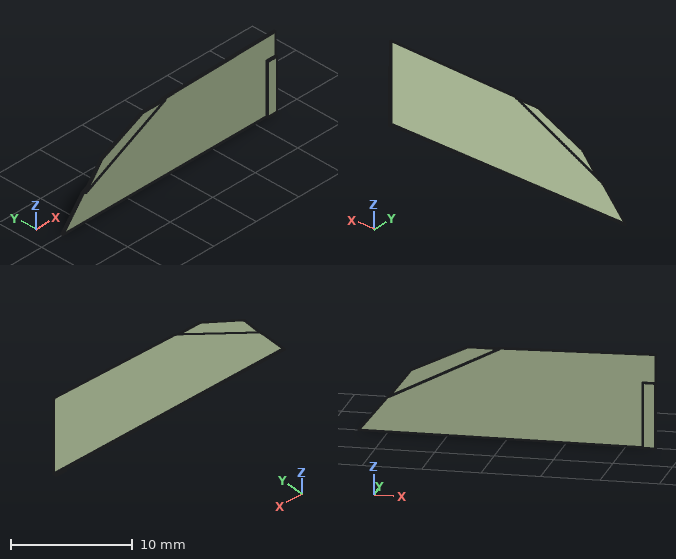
import cadquery as cq

LENGTH = 25.0
HEIGHT = 8.0
TOTAL_THICKNESS = 0.32
PLATE_THICKNESS = TOTAL_THICKNESS / 2
PAD_THICKNESS = TOTAL_THICKNESS - PLATE_THICKNESS

SLOPE_START_X = 2.42
SLOPE_START_Z = 2.98
SLOPE_END_X = 11.8
SLOPE_END_Z = 7.72

PATCH_TIP_X = 2.55
PATCH_TIP_Z = 3.02
PATCH_SHOULDER_X = 4.42
PATCH_SHOULDER_Z = 5.45
PATCH_TOP_X = 9.22
PATCH_END_X = 11.9

STRIP_WIDTH = 1.05
STRIP_HEIGHT = 5.58

JOINT_Y = 0.0


def sheet(outline, thickness):
    """Flat sheet from an XZ outline; positive thickness grows toward -Y."""
    plane = cq.Workplane("XZ", origin=(0, JOINT_Y, 0))
    return plane.polyline(outline).close().extrude(thickness)


def make_plate():
    outline = [
        (0, 0),
        (LENGTH, 0),
        (LENGTH, HEIGHT),
        (SLOPE_END_X, SLOPE_END_Z),
        (SLOPE_START_X, SLOPE_START_Z),
    ]
    return sheet(outline, -PLATE_THICKNESS)


def make_corner_patch():
    """Four-sided patch along the plate's sloping corner, overlapping its front face by a sliver."""
    outline = [
        (PATCH_TIP_X, PATCH_TIP_Z),
        (PATCH_END_X, SLOPE_END_Z),
        (PATCH_TOP_X, SLOPE_END_Z),
        (PATCH_SHOULDER_X, PATCH_SHOULDER_Z),
    ]
    return sheet(outline, PAD_THICKNESS)


def make_end_strip():
    """Upright strip on the front of the plate, flush with its tall end and bottom."""
    left = LENGTH - STRIP_WIDTH
    outline = [
        (left, 0),
        (LENGTH, 0),
        (LENGTH, STRIP_HEIGHT),
        (left, STRIP_HEIGHT),
    ]
    return sheet(outline, PAD_THICKNESS)


plate = make_plate()
corner_patch = make_corner_patch()
end_strip = make_end_strip()

result = cq.Compound.makeCompound([plate.val(), corner_patch.val(), end_strip.val()])